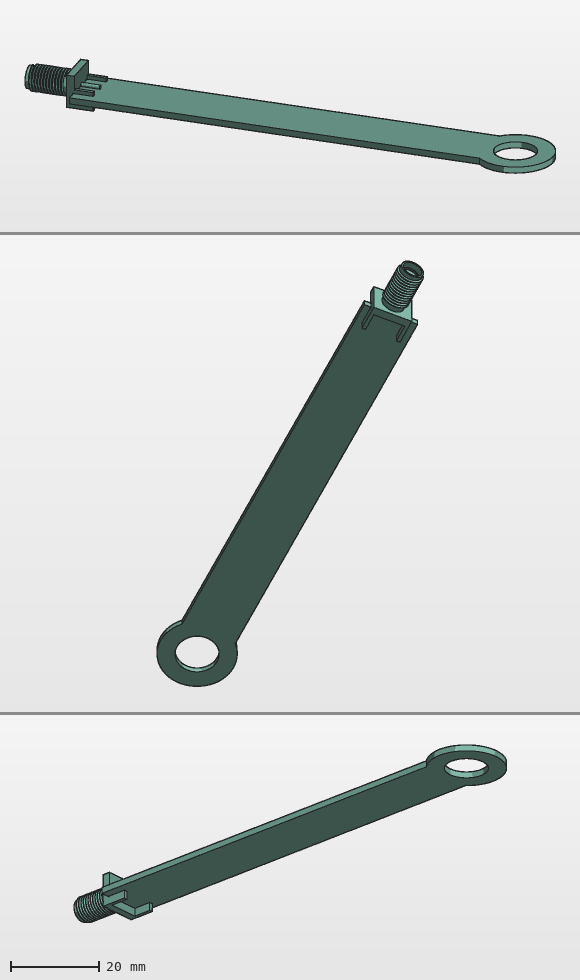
import cadquery as cq

part_length = 126.7
connector_tip_x = 0.0

ring_diameter = 18.2
ring_hole_diameter = 10.0
board_center_y = -0.3
strip_width = 13.3
board_thickness = 1.5
board_start_x = 12.3

flange_width = 9.5
flange_height = 8.0
flange_start_x = 10.8
flange_thickness = 1.9
leg_length = 4.5
leg_width = 0.9
leg_rise = 1.1
slot_clearance = 0.19

rear_pin_diameter = 0.98

barrel_diameter = 5.5
thread_diameter = 6.3
thread_pitch = 0.71
thread_start_x = 0.66
thread_end_x = 9.9
thread_start_angle = 180
thread_crest_width = 0.1
thread_root_width = 0.6
thread_root_sink = 0.06

mouth_diameter = 4.5
mouth_depth = 1.5
bore_diameter = 4.2
bore_depth = 2.5
insulator_diameter = 4.0
insulator_face_x = 1.9
contact_diameter = 1.3
contact_recess = 0.1
contact_hole_diameter = 0.8
contact_hole_depth = 1.9

flange_end_x = flange_start_x + flange_thickness
leg_end_x = flange_end_x + leg_length
contact_face_x = insulator_face_x + contact_recess
board_top_z = -rear_pin_diameter / 2
board_bottom_z = board_top_z - board_thickness
ring_center_x = part_length - ring_diameter / 2


def cylinder_along_x(diameter, start_x, end_x):
    """Solid cylinder on the connector axis."""
    return cq.Workplane("YZ", origin=(start_x, 0, 0)).circle(diameter / 2).extrude(end_x - start_x)


def box_between(x_range, y_range, z_range):
    """Box given by its lower and upper limit along each axis."""
    sizes = [high - low for low, high in (x_range, y_range, z_range)]
    corner = (x_range[0], y_range[0], z_range[0])
    return cq.Workplane("XY").box(*sizes, centered=False).translate(corner)


def make_board():
    strip = box_between(
        (board_start_x, ring_center_x),
        (board_center_y - strip_width / 2, board_center_y + strip_width / 2),
        (board_bottom_z, board_top_z),
    )
    ring_plane = cq.Workplane("XY", origin=(ring_center_x, board_center_y, board_bottom_z))
    ring = ring_plane.circle(ring_diameter / 2).extrude(board_thickness)
    hole = ring_plane.circle(ring_hole_diameter / 2).extrude(board_thickness)
    return strip.union(ring).cut(hole)


def make_thread():
    """Right-handed helical ridge with a trapezoid profile, sunk slightly into the barrel."""
    root_radius = barrel_diameter / 2 - thread_root_sink
    crest_radius = thread_diameter / 2
    path = cq.Wire.makeHelix(
        thread_pitch,
        thread_end_x - thread_start_x - thread_root_width,
        root_radius,
    )
    profile = (
        cq.Workplane("XZ")
        .moveTo(root_radius, -thread_root_width / 2)
        .lineTo(crest_radius, -thread_crest_width / 2)
        .lineTo(crest_radius, thread_crest_width / 2)
        .lineTo(root_radius, thread_root_width / 2)
        .close()
    )
    ridge = profile.sweep(cq.Workplane(path), isFrenet=True)
    ridge_along_x = ridge.rotate((0, 0, 0), (0, 1, 0), 90)
    turned_ridge = ridge_along_x.rotate((0, 0, 0), (1, 0, 0), thread_start_angle)
    return turned_ridge.translate((thread_start_x + thread_root_width / 2, 0, 0))


def make_flange_with_legs():
    half_width = flange_width / 2
    half_height = flange_height / 2
    body = box_between(
        (flange_start_x, flange_end_x), (-half_width, half_width), (-half_height, half_height)
    )
    for leg_start_y in (-half_width, half_width - leg_width):
        leg = box_between(
            (flange_start_x, leg_end_x),
            (leg_start_y, leg_start_y + leg_width),
            (-half_height, board_top_z + leg_rise),
        )
        body = body.union(leg)
    return body


def make_slot():
    """Open pocket around the board end, with clearance above the board."""
    half_width = flange_width / 2
    return box_between(
        (board_start_x, leg_end_x),
        (-half_width, half_width),
        (board_bottom_z, board_top_z + slot_clearance),
    )


def make_connector():
    barrel = cylinder_along_x(barrel_diameter, connector_tip_x, flange_start_x)
    mouth = cylinder_along_x(mouth_diameter, connector_tip_x, mouth_depth)
    bore = cylinder_along_x(bore_diameter, connector_tip_x, bore_depth)
    insulator = cylinder_along_x(insulator_diameter, insulator_face_x, flange_start_x)
    recess = cylinder_along_x(contact_diameter, insulator_face_x, contact_face_x)
    contact_hole = cylinder_along_x(
        contact_hole_diameter, contact_face_x, contact_face_x + contact_hole_depth
    )
    rear_pin = cylinder_along_x(rear_pin_diameter, board_start_x, leg_end_x)
    shell = barrel.union(make_thread()).union(make_flange_with_legs())
    opened_shell = shell.cut(mouth).cut(bore).cut(make_slot())
    filled_shell = opened_shell.union(insulator).cut(recess).cut(contact_hole)
    return filled_shell.union(rear_pin)


board = make_board()
connector = make_connector()
result = cq.Compound.makeCompound([connector.val(), board.val()])